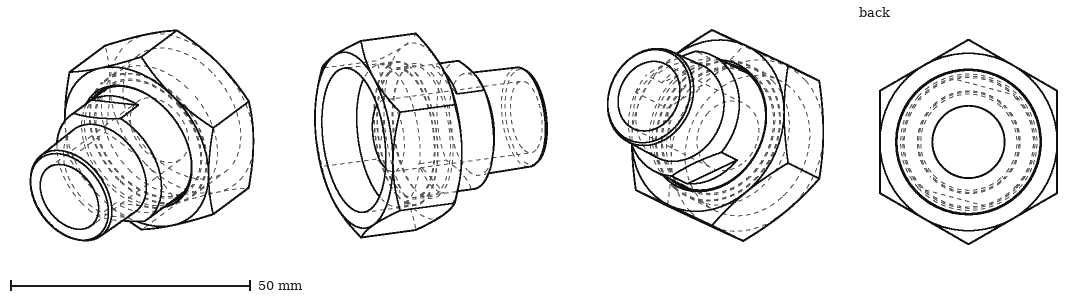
import cadquery as cq
import math

total_length = 40.0

nut_corner_width = 42.7
nut_length = 16.0
nut_chamfer_angle = 30.0
nut_lip_length = 4.0
nut_lip_radius = 13.8
nut_mouth_radius = 14.23
nut_thread_radius = 15.15

flange_radius = 14.95
flange_length = 4.0
collar_radius = 13.5
shoulder_start = 14.15
spigot_length = 12.6
spigot_root_radius = 10.72
spigot_tip_radius = 10.45
tip_chamfer_length = 0.65
tip_chamfer_radial = 0.43
bore_radius = 7.5

flat_distance = 11.95
flat_end = 20.5
flat_tilt = 15.0

nut_corner_radius = nut_corner_width / 2
nut_flat_radius = nut_corner_radius * math.cos(math.radians(30))
nut_front = -nut_length
lip_back = nut_front + nut_lip_length
spigot_tip = -total_length


def revolve_profile(points):
    """Revolve a closed outline of (radius, Y) points around the Y axis."""
    return cq.Workplane("XY").polyline(points).close().revolve(360, (0, 0, 0), (0, 1, 0))


def make_nut():
    """Hexagon with both ends turned conical, a lipped bore and a countersunk mouth."""
    hexagon = (
        cq.Workplane("XZ")
        .transformed(rotate=(0, 0, 90))
        .polygon(6, nut_corner_width)
        .extrude(nut_length)
    )
    chamfer_radial = nut_corner_radius - nut_flat_radius
    chamfer_axial = chamfer_radial * math.tan(math.radians(nut_chamfer_angle))
    turned_envelope = revolve_profile([
        (0, 0),
        (nut_flat_radius, 0),
        (nut_corner_radius, -chamfer_axial),
        (nut_corner_radius, nut_front + chamfer_axial),
        (nut_flat_radius, nut_front),
        (0, nut_front),
    ])
    mouth_depth = nut_mouth_radius - nut_lip_radius
    opening = revolve_profile([
        (0, 0),
        (nut_thread_radius, 0),
        (nut_thread_radius, lip_back),
        (nut_lip_radius, lip_back),
        (nut_lip_radius, nut_front + mouth_depth),
        (nut_mouth_radius, nut_front),
        (0, nut_front),
    ])
    return hexagon.intersect(turned_envelope).cut(opening)


def make_flat_cutter():
    """Two blocks whose inner faces form the parallel wrench flats."""
    block_width = 2 * collar_radius
    block_height = collar_radius
    cutter = cq.Workplane("XY")
    for side in (1, -1):
        block = cq.Workplane("XY").box(block_width, flat_end, block_height).translate(
            (0, spigot_tip + flat_end / 2, side * (flat_distance + block_height / 2))
        )
        cutter = cutter.add(block)
    return cutter.combine().rotate((0, 0, 0), (0, 1, 0), -flat_tilt)


def make_tailpiece():
    """Turned tube whose flange rests against the inside of the nut's lip."""
    flange_back = lip_back + flange_length
    turned_body = revolve_profile([
        (bore_radius, flange_back),
        (flange_radius, flange_back),
        (flange_radius, lip_back),
        (collar_radius, lip_back),
        (collar_radius, spigot_tip + shoulder_start),
        (spigot_root_radius, spigot_tip + spigot_length),
        (spigot_tip_radius, spigot_tip + tip_chamfer_length),
        (spigot_tip_radius - tip_chamfer_radial, spigot_tip),
        (bore_radius, spigot_tip),
    ])
    return turned_body.cut(make_flat_cutter())


nut = make_nut()
tailpiece = make_tailpiece()

result = cq.Compound.makeCompound([nut.val(), tailpiece.val()])